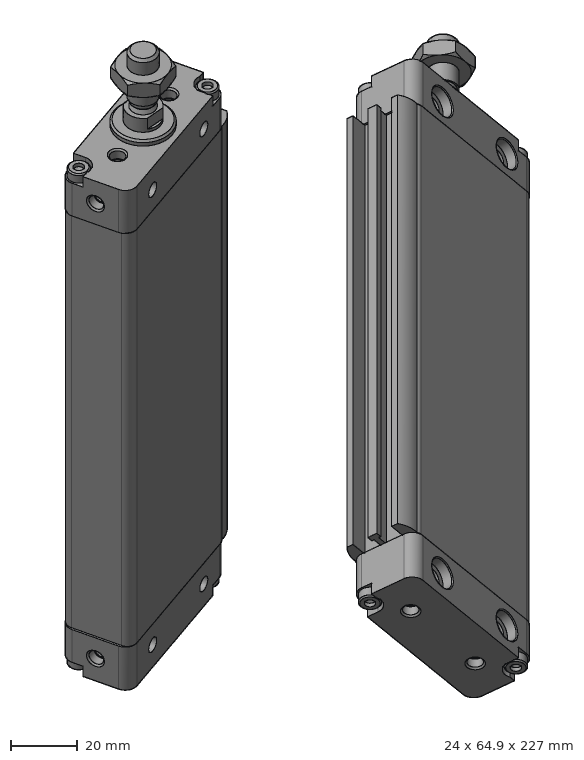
import cadquery as cq
import math


TOTAL_HEIGHT = 227.0
WIDTH = 24.0
CAP_DEPTH = 59.7
CAP_HEIGHT = 17.0
BARREL_LENGTH = 163.5
CAP_CORNER = 4.0
FRONT_CAP_Z = CAP_HEIGHT + BARREL_LENGTH

BARREL_SETBACK = 0.7
BARREL_CORNER = 3.5
RAIL_SIDE_CORNER = 2.5
RAIL_HEIGHT = 5.2
RAIL_INNER_X = 7.3
RAIL_TOP_X = 9.5
RAIL_BULGE_X = 11.0
RAIL_FOOT_X = 11.5
RAIL_FOOT_DROP = 1.1
STEM_WIDTH = 1.8
T_HEAD_WIDTH = 3.5
T_HEAD_HEIGHT = 2.0
BARREL_HALF_DEPTH = CAP_DEPTH / 2 - BARREL_SETBACK
RAIL_TOP_Y = CAP_DEPTH / 2 + RAIL_HEIGHT

HOLE_SPACING = 32.0
HOLE_INSET = 8.9
MOUNT_DIAMETER = 5.0
MOUNT_MOUTH = 6.1
COUNTERBORE_DIAMETER = 10.0
COUNTERBORE_MOUTH = 10.7
COUNTERBORE_DEPTH = 3.6
THREAD_HOLE_DIAMETER = 5.0
THREAD_HOLE_MOUTH = 6.1
THREAD_HOLE_DEPTH = 3.6
PILOT_DIAMETER = 4.0
PILOT_DEPTH = 5.0
PORT_TIP_HEIGHT = 1.1

POCKET_DIAMETER = 8.2
POCKET_END_OPENING = 7.3
POCKET_DEPTH = 4.0
HEAD_DIAMETER = 7.0
HEAD_HEIGHT = 3.5
HEAD_CHAMFER = 0.5
SOCKET_DIAMETER = 3.5
SOCKET_DEPTH = 1.4
SOCKET_TIP_HEIGHT = 1.1
SCREW_X = WIDTH / 2 - CAP_CORNER
SCREW_Y = CAP_DEPTH / 2 - CAP_CORNER

COLLAR_DIAMETER = 20.0
COLLAR_HEIGHT = 2.0
COLLAR_CHAMFER = 0.7

ROD_DIAMETER = 12.0
ROD_SHOULDER_Z = 205.0
THREAD_DIAMETER = 9.8
THREAD_START_Z = 208.8
THREAD_CHAMFER = 1.0
NECK_DIAMETER = 8.6
NECK_END_Z = 207.3
UNDERCUT_DIAMETER = 7.0
UNDERCUT_Z = 206.3
FLATS_ACROSS = 10.0
FLATS_HEIGHT = 4.3
FLATS_STOCK = 2 * ROD_DIAMETER
FLATS_ANGLE = -15.0

NUT_ACROSS_FLATS = 17.0
NUT_HEIGHT = 5.7
NUT_BOTTOM_Z = 215.5
NUT_CHAMFER_ANGLE = 30.0
NUT_ACROSS_CORNERS = NUT_ACROSS_FLATS / math.cos(math.pi / 6)


def cylinder(diameter, height, x, y, z):
    """Upright cylinder whose lower face is centred on (x, y, z)."""
    return cq.Workplane("XY", origin=(x, y, z)).circle(diameter / 2).extrude(height)


def bevelled_hole(diameter, mouth, depth, point, direction):
    """Cutter for a round hole with a 45 degree bevel at its mouth, going in from the given point."""
    bevel = (mouth - diameter) / 2
    hole = cq.Solid.makeCylinder(diameter / 2, depth, point, direction)
    rim = cq.Solid.makeCone(mouth / 2, diameter / 2, bevel, point, direction)
    return cq.Workplane(hole.fuse(rim))


def threaded_hole(point, direction):
    """Cutter for a blind threaded hole with a narrower pilot bore below it."""
    hole = bevelled_hole(THREAD_HOLE_DIAMETER, THREAD_HOLE_MOUTH, THREAD_HOLE_DEPTH, point, direction)
    return hole.union(cq.Workplane(cq.Solid.makeCylinder(PILOT_DIAMETER / 2, PILOT_DEPTH, point, direction)))


def air_port(z):
    """Cutter for a threaded air port in the -Y wall, with a drill-point bottom."""
    wall = cq.Vector(0, -CAP_DEPTH / 2, z)
    inward = cq.Vector(0, 1, 0)
    tip = cq.Solid.makeCone(PILOT_DIAMETER / 2, 0, PORT_TIP_HEIGHT, wall + inward * PILOT_DEPTH, inward)
    return threaded_hole(wall, inward).union(cq.Workplane(tip))


def mounting_hole(y, z):
    """Cutter for a hole through the cap along X, counterbored from the -X side."""
    wall = cq.Vector(-WIDTH / 2, y, z)
    inward = cq.Vector(1, 0, 0)
    floor = wall + inward * COUNTERBORE_DEPTH
    counterbore = bevelled_hole(COUNTERBORE_DIAMETER, COUNTERBORE_MOUTH, COUNTERBORE_DEPTH, wall, inward)
    return counterbore.union(bevelled_hole(MOUNT_DIAMETER, MOUNT_MOUTH, WIDTH, floor, inward))


def screw_pocket(side):
    """Cutter for a round screw pocket, opened to both walls of the (side, side) corner."""
    floor_z = CAP_HEIGHT - POCKET_DEPTH
    pocket = cylinder(POCKET_DIAMETER, POCKET_DEPTH, side * SCREW_X, side * SCREW_Y, floor_z)
    base = cq.Workplane("XY", origin=(side * SCREW_X, side * SCREW_Y, floor_z))
    reach = side * CAP_CORNER / 2
    side_opening = base.center(reach, 0).rect(CAP_CORNER, POCKET_DIAMETER).extrude(POCKET_DEPTH)
    end_opening = base.center(0, reach).rect(POCKET_END_OPENING, CAP_CORNER).extrude(POCKET_DEPTH)
    return pocket.union(side_opening).union(end_opening)


def screw_head(side):
    """Socket head standing on the pocket floor."""
    x = side * SCREW_X
    y = side * SCREW_Y
    floor_z = CAP_HEIGHT - POCKET_DEPTH
    head = cylinder(HEAD_DIAMETER, HEAD_HEIGHT, x, y, floor_z).faces(">Z").chamfer(HEAD_CHAMFER)
    socket_floor_z = floor_z + HEAD_HEIGHT - SOCKET_DEPTH
    socket = cylinder(SOCKET_DIAMETER, SOCKET_DEPTH, x, y, socket_floor_z)
    tip = cq.Solid.makeCone(
        SOCKET_DIAMETER / 2, 0, SOCKET_TIP_HEIGHT, cq.Vector(x, y, socket_floor_z), cq.Vector(0, 0, -1)
    )
    return head.cut(socket).cut(cq.Workplane(tip))


def make_cap():
    """End cap with its outer face at Z = CAP_HEIGHT."""
    cap = (
        cq.Workplane("XY")
        .rect(WIDTH, CAP_DEPTH)
        .extrude(CAP_HEIGHT)
        .edges("|Z")
        .fillet(CAP_CORNER)
    )
    hole_z = CAP_HEIGHT - HOLE_INSET
    cap = cap.cut(air_port(hole_z))
    for side in (-1, 1):
        y = side * HOLE_SPACING / 2
        cap = cap.cut(mounting_hole(y, hole_z))
        cap = cap.cut(threaded_hole(cq.Vector(0, y, CAP_HEIGHT), cq.Vector(0, 0, -1)))
        cap = cap.cut(screw_pocket(side)).union(screw_head(side))
    return cap


def make_rear_cap():
    """The cap mirrored, so that its outer face lies at Z = 0."""
    return make_cap().mirror("XY").translate((0, 0, CAP_HEIGHT))


def make_front_cap():
    """The cap with a bearing collar and a bore for the rod."""
    collar = (
        cylinder(COLLAR_DIAMETER, COLLAR_HEIGHT, 0, 0, CAP_HEIGHT)
        .faces(">Z")
        .chamfer(COLLAR_CHAMFER)
    )
    bore = cylinder(ROD_DIAMETER, CAP_HEIGHT + COLLAR_HEIGHT, 0, 0, 0)
    return make_cap().union(collar).cut(bore).translate((0, 0, FRONT_CAP_Z))


def make_rail(side):
    """Outer rail with a bulged outer flank."""
    foot_y = BARREL_HALF_DEPTH - RAIL_FOOT_DROP
    bulge_y = (foot_y + 2 * RAIL_TOP_Y) / 3
    return (
        cq.Workplane("XY", origin=(0, 0, CAP_HEIGHT))
        .moveTo(side * RAIL_INNER_X, foot_y)
        .lineTo(side * RAIL_FOOT_X, foot_y)
        .threePointArc((side * RAIL_BULGE_X, bulge_y), (side * RAIL_TOP_X, RAIL_TOP_Y))
        .lineTo(side * RAIL_INNER_X, RAIL_TOP_Y)
        .close()
        .extrude(BARREL_LENGTH)
    )


def make_t_rail():
    """Middle rail with a T-shaped section."""
    base = cq.Workplane("XY", origin=(0, BARREL_HALF_DEPTH, CAP_HEIGHT))
    height = RAIL_TOP_Y - BARREL_HALF_DEPTH
    stem = base.rect(STEM_WIDTH, 2 * height).extrude(BARREL_LENGTH)
    head = (
        base.center(0, height - T_HEAD_HEIGHT / 2)
        .rect(T_HEAD_WIDTH, T_HEAD_HEIGHT)
        .extrude(BARREL_LENGTH)
    )
    return stem.union(head)


def make_barrel():
    """Barrel between the caps, with three rails along its +Y side."""
    barrel = (
        cq.Workplane("XY", origin=(0, 0, CAP_HEIGHT))
        .rect(WIDTH, 2 * BARREL_HALF_DEPTH)
        .extrude(BARREL_LENGTH)
    )
    barrel = barrel.edges("|Z and <Y").fillet(BARREL_CORNER)
    barrel = barrel.edges("|Z and >Y").fillet(RAIL_SIDE_CORNER)
    for side in (-1, 1):
        barrel = barrel.union(make_rail(side))
    return barrel.union(make_t_rail())


def make_rod():
    """Turned rod with a threaded end, a neck and two wrench flats."""
    thread_radius = THREAD_DIAMETER / 2
    rod = (
        cq.Workplane("XZ")
        .moveTo(0, FRONT_CAP_Z)
        .lineTo(ROD_DIAMETER / 2, FRONT_CAP_Z)
        .lineTo(ROD_DIAMETER / 2, ROD_SHOULDER_Z)
        .lineTo(NECK_DIAMETER / 2, ROD_SHOULDER_Z)
        .lineTo(UNDERCUT_DIAMETER / 2, UNDERCUT_Z)
        .lineTo(NECK_DIAMETER / 2, NECK_END_Z)
        .lineTo(NECK_DIAMETER / 2, THREAD_START_Z)
        .lineTo(thread_radius, THREAD_START_Z)
        .lineTo(thread_radius, TOTAL_HEIGHT - THREAD_CHAMFER)
        .lineTo(thread_radius - THREAD_CHAMFER, TOTAL_HEIGHT)
        .lineTo(0, TOTAL_HEIGHT)
        .close()
        .revolve(360, (0, 0), (0, 1))
    )
    flats = (
        cq.Workplane("XY", origin=(0, 0, ROD_SHOULDER_Z - FLATS_HEIGHT))
        .rect(FLATS_STOCK, FLATS_STOCK)
        .rect(FLATS_ACROSS, FLATS_STOCK)
        .extrude(FLATS_HEIGHT)
        .rotate((0, 0, 0), (0, 0, 1), FLATS_ANGLE)
    )
    return rod.cut(flats)


def make_nut():
    """Hexagon nut with flats facing +X and -X, and its corners bevelled at both ends."""
    bevel_width = (NUT_ACROSS_CORNERS - NUT_ACROSS_FLATS) / 2
    bevel_height = bevel_width * math.tan(math.radians(NUT_CHAMFER_ANGLE))
    hexagon = (
        cq.Workplane("XY", origin=(0, 0, NUT_BOTTOM_Z))
        .polygon(6, NUT_ACROSS_CORNERS)
        .extrude(NUT_HEIGHT)
        .rotate((0, 0, 0), (0, 0, 1), 90)
    )
    envelope = (
        cylinder(NUT_ACROSS_CORNERS, NUT_HEIGHT, 0, 0, NUT_BOTTOM_Z)
        .faces("<Z or >Z")
        .chamfer(bevel_height, bevel_width)
    )
    return hexagon.intersect(envelope).cut(cylinder(THREAD_DIAMETER, NUT_HEIGHT, 0, 0, NUT_BOTTOM_Z))


rear_cap = make_rear_cap()
barrel = make_barrel()
front_cap = make_front_cap()
rod = make_rod()
nut = make_nut()

bodies = [rear_cap, barrel, front_cap, rod, nut]
result = cq.Compound.makeCompound([body.solids().val() for body in bodies])